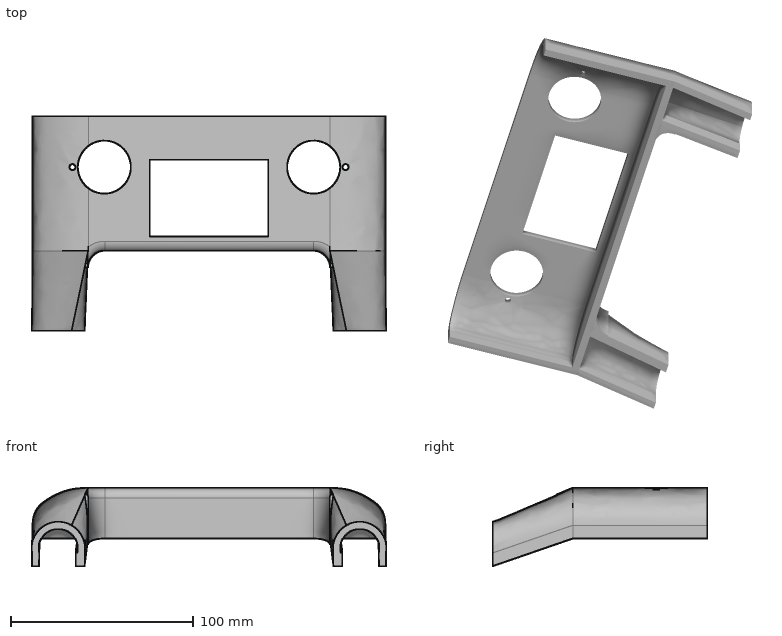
import math

import cadquery as cq

body_length = 74.0
total_length = 117.94
body_height = 28.0
body_half_width = 97.0
foot_half_width = 97.51
leg_drop = 15.17
wall = 4.0

sill_height = 7.5
flat_half_width = 66.4

arch_half_width = 14.5
arch_spring_z = sill_height - leg_drop
arch_crown_z = 9.3
lip_width = 1.0
arch_seam_angle = math.radians(30)
arch_rise = arch_crown_z - arch_spring_z
arch_radius = (arch_half_width**2 + arch_rise**2) / (2 * arch_rise)
arch_center = foot_half_width - arch_radius
seam_end_x = arch_center - arch_radius * math.sin(arch_seam_angle)

corner_radius = 9.0
front_edge_radius = 5.4
bar_depth = corner_radius
quarter_turn = 90

window_width = 65.0
window_back = 24.0
window_front = 66.0
gauge_diameter = 29.0
gauge_x = 57.5
gauge_setback = 28.0
pin_diameter = 3.2
pin_x = 75.0

leg_start_y = -body_length
leg_end_y = -total_length


def section_plane(y):
    """XZ work plane at the given Y, facing -Y."""
    return cq.Workplane("XZ", origin=(0, y, 0))


def shoulder_point(side_x, flat_x, top_z):
    """Midway point of the quarter ellipse rising from the sill to the flat top."""
    diagonal = math.sqrt(0.5)
    x = flat_x + (side_x - flat_x) * diagonal
    z = sill_height + (top_z - sill_height) * diagonal
    return x, z


def shoulder(sketch, side_x, flat_x, top_z):
    """Add the quarter ellipse to an outline that has reached the sill."""
    return sketch.spline(
        [shoulder_point(side_x, flat_x, top_z), (flat_x, top_z)],
        tangents=[(0, 1), (-1, 0)],
        includeCurrent=True,
    )


def body_profile(offset):
    """Full-width body outline at the back edge, moved inward by the offset."""
    side_x = body_half_width - offset
    top_z = body_height - offset
    mid_x, mid_z = shoulder_point(side_x, flat_half_width, top_z)
    sketch = section_plane(0).moveTo(-side_x, 0).lineTo(side_x, 0).lineTo(side_x, sill_height)
    sketch = shoulder(sketch, side_x, flat_half_width, top_z)
    sketch = sketch.lineTo(-flat_half_width, top_z)
    sketch = sketch.spline(
        [(-mid_x, mid_z), (-side_x, sill_height)],
        tangents=[(-1, 0), (0, -1)],
        includeCurrent=True,
    )
    return sketch.close()


def leg_root_wire(offset):
    """Leg outline where it meets the body, moved inward by the offset."""
    side_x = body_half_width - offset
    inner_x = flat_half_width + offset
    top_z = body_height - offset
    sketch = section_plane(leg_start_y).moveTo(side_x, 0).lineTo(side_x, sill_height)
    sketch = shoulder(sketch, side_x, inner_x, top_z)
    sketch = sketch.lineTo(inner_x, sill_height).lineTo(inner_x, 0).close()
    return sketch.val()


def leg_end_wire(offset):
    """Arched outline at the leg's free end, moved inward by the offset."""
    half_width = arch_half_width - offset
    rise = arch_crown_z - offset - arch_spring_z
    radius = (half_width**2 + rise**2) / (2 * rise)
    center_z = arch_crown_z - offset - radius
    spring_angle = math.atan2(arch_spring_z - center_z, half_width)

    def arch_point(angle):
        return arch_center + radius * math.cos(angle), center_z + radius * math.sin(angle)

    seam_angle = math.pi / 2 + arch_seam_angle
    inner_angle = math.pi - spring_angle
    sketch = section_plane(leg_end_y).moveTo(arch_center + half_width, -leg_drop)
    sketch = sketch.lineTo(arch_center + half_width, arch_spring_z)
    sketch = sketch.threePointArc(arch_point((spring_angle + seam_angle) / 2), arch_point(seam_angle))
    sketch = sketch.threePointArc(
        arch_point((seam_angle + inner_angle) / 2), (arch_center - half_width, arch_spring_z)
    )
    sketch = sketch.lineTo(arch_center - half_width, -leg_drop).close()
    return sketch.val()


def leg_loft(offset):
    """Solid sweeping straight from the body's shoulder to the arched end."""
    wires = [leg_root_wire(offset), leg_end_wire(offset)]
    return cq.Workplane(obj=cq.Solid.makeLoft(wires, True))


def lip_wire(y, wall_face_x, bottom_z):
    """Upright rectangle from the middle of the inner wall to the edge of its lip."""
    return (
        section_plane(y)
        .moveTo(wall_face_x - wall / 2, bottom_z)
        .lineTo(wall_face_x + lip_width, bottom_z)
        .lineTo(wall_face_x + lip_width, bottom_z + sill_height)
        .lineTo(wall_face_x - wall / 2, bottom_z + sill_height)
        .close()
        .val()
    )


def leg_channel():
    """Hollow along a leg, narrowed at the foot by a lip on the wall facing the other leg."""
    root_lip = lip_wire(leg_start_y, flat_half_width + wall, 0)
    end_lip = lip_wire(leg_end_y, arch_center - arch_half_width + wall, -leg_drop)
    lip = cq.Workplane(obj=cq.Solid.makeLoft([root_lip, end_lip], True))
    return leg_loft(wall).cut(lip)


def both_sides(right_side):
    """Join a right-hand shape with its mirror image."""
    return right_side.union(right_side.mirror("YZ"))


def front_edge_section(x):
    """Upright bar section in the YZ plane at the given X, with a rounded top front edge."""
    height = leg_drop + body_height
    return (
        cq.Workplane(cq.Plane(origin=(x, leg_start_y, -leg_drop), xDir=(0, 1, 0), normal=(1, 0, 0)))
        .lineTo(0, height - front_edge_radius)
        .radiusArc((front_edge_radius, height), front_edge_radius)
        .lineTo(bar_depth, height)
        .lineTo(bar_depth, 0)
        .close()
    )


def make_seam_limit():
    """Right-hand prism ending in plan at the seam that runs down the leg from the flat top."""
    return (
        cq.Workplane("XY", origin=(0, 0, -leg_drop))
        .lineTo(flat_half_width, 0)
        .lineTo(flat_half_width, leg_start_y)
        .lineTo(seam_end_x, leg_end_y)
        .lineTo(0, leg_end_y)
        .close()
        .extrude(leg_drop + body_height)
    )


def make_side_envelope():
    """Prism across the full width with the part's side outline: level body, then sloping legs."""
    return (
        cq.Workplane("YZ")
        .moveTo(0, 0)
        .lineTo(0, body_height)
        .lineTo(leg_start_y, body_height)
        .lineTo(leg_end_y, arch_crown_z)
        .lineTo(leg_end_y, -leg_drop)
        .lineTo(leg_start_y, 0)
        .close()
        .extrude(foot_half_width, both=True)
    )


def make_bridge_front():
    """Front bar with its rounded top edge carried around concave corners into the legs."""
    corner_x = flat_half_width - corner_radius
    bar = front_edge_section(0).extrude(corner_x)
    axis_start = (-corner_radius, 0)
    axis_end = (-corner_radius, -1)
    corner = front_edge_section(corner_x).revolve(quarter_turn, axis_start, axis_end)
    blended = bar.union(corner).intersect(make_seam_limit())
    return both_sides(blended).intersect(make_side_envelope())


def make_outer_shape():
    """Solid outer form: body, both legs and the rounded front bar."""
    body = body_profile(0).extrude(body_length)
    square_front = (
        cq.Workplane("XY")
        .box(2 * flat_half_width, front_edge_radius, body_height, centered=(True, False, False))
        .translate((0, leg_start_y, 0))
    )
    body = body.cut(square_front)
    return body.union(both_sides(leg_loft(0))).union(make_bridge_front())


def make_cavities():
    """Hollow under the body, open at the back, and the channels along both legs."""
    under_body = body_profile(wall).extrude(body_length - wall)
    return under_body.union(both_sides(leg_channel()))


def make_openings():
    """Window, gauge holes and pin holes through the top."""
    openings = (
        cq.Workplane("XY")
        .center(0, -(window_back + window_front) / 2)
        .rect(window_width, window_front - window_back)
        .extrude(body_height)
    )
    for x, diameter in ((gauge_x, gauge_diameter), (pin_x, pin_diameter)):
        centers = [(-x, -gauge_setback), (x, -gauge_setback)]
        drills = cq.Workplane("XY").pushPoints(centers).circle(diameter / 2).extrude(body_height)
        openings = openings.union(drills)
    return openings


result = make_outer_shape().cut(make_cavities()).cut(make_openings())